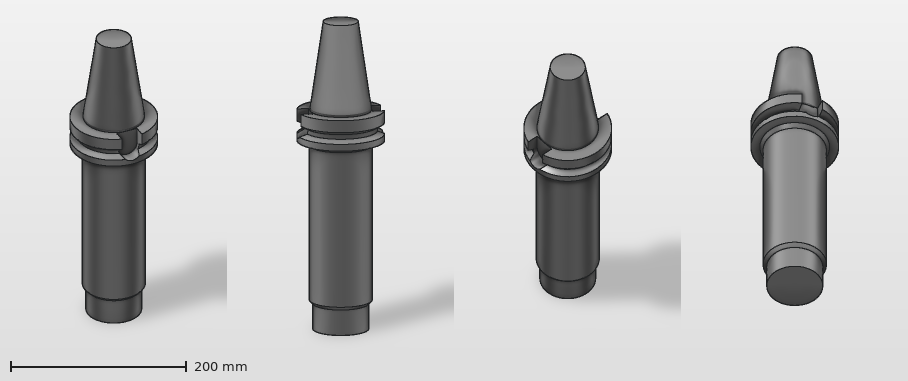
import cadquery as cq

total_height = 360.8
taper_base_z = 259.0
flange_top_z = 257.0
groove_upper_outer_z = 242.8
groove_upper_inner_z = 238.5
groove_lower_inner_z = 233.0
groove_lower_outer_z = 229.0
flange_bottom_z = 221.0
body_top_z = 215.8
body_bottom_z = 34.3
nose_top_z = 30.0

taper_top_diameter = 40.0
taper_base_diameter = 70.0
flange_diameter = 100.0
groove_diameter = 84.5
flange_neck_diameter = 79.5
body_diameter = 72.0
nose_diameter = 64.0

slot_width = 25.3
slot_floor_x = 35.0
slot_bottom_z = 226.0


def make_holder():
    """Revolve the tool holder outline around the Z axis."""
    stations = [
        (nose_diameter, 0),
        (nose_diameter, nose_top_z),
        (body_diameter, body_bottom_z),
        (body_diameter, body_top_z),
        (flange_neck_diameter, flange_bottom_z),
        (flange_diameter, flange_bottom_z),
        (flange_diameter, groove_lower_outer_z),
        (groove_diameter, groove_lower_inner_z),
        (groove_diameter, groove_upper_inner_z),
        (flange_diameter, groove_upper_outer_z),
        (flange_diameter, flange_top_z),
        (taper_base_diameter, flange_top_z),
        (taper_base_diameter, taper_base_z),
        (taper_top_diameter, total_height),
    ]
    outline = [(diameter / 2, z) for diameter, z in stations]
    profile = cq.Workplane("XZ").polyline([(0, 0)] + outline + [(0, total_height)]).close()
    return profile.revolve(360, (0, 0, 0), (0, 1, 0))


def make_drive_slot(side):
    """Round-bottomed cutter for one flange side: -1 for -X, +1 for +X."""
    half_width = slot_width / 2
    arc_centre_z = slot_bottom_z + half_width
    return (
        cq.Workplane("YZ", origin=(side * slot_floor_x, 0, 0))
        .moveTo(-half_width, flange_top_z)
        .lineTo(-half_width, arc_centre_z)
        .threePointArc((0, slot_bottom_z), (half_width, arc_centre_z))
        .lineTo(half_width, flange_top_z)
        .close()
        .extrude(side * flange_diameter / 2)
    )


result = make_holder()
for side in (-1, 1):
    result = result.cut(make_drive_slot(side))